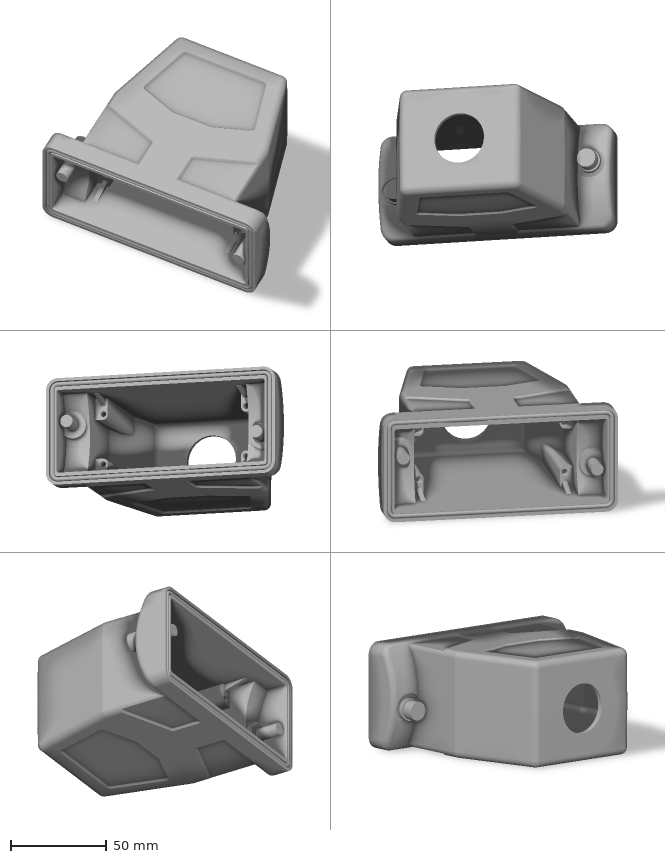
import cadquery as cq
import math


COLLAR_WIDTH = 125.0
LENGTH = 100.0
HEIGHT = 57.0

COLLAR_CORNER = 6.2
COLLAR_CREST = 20.0
COLLAR_BACK_RADIUS = 50.0
COLLAR_EDGE_FILLET = 3.0

TRUNK_START = 6.2
TRUNK_HALF_WIDTH = 45.5
TRUNK_BEND_Y = 50.0
TRUNK_BACK_HALF_WIDTH = 32.0
TRUNK_DRAFT = 0.5
TRUNK_BEND_RADIUS = 3.8
TRUNK_CORNER_RADIUS = 3.8
TRUNK_EDGE_FILLET = 3.6

LABEL_DEPTH = 1.0
GRIP_DEPTH = 1.1
BEVEL = 45.0
RECESS_CORNER = 1.2
GRIP_INNER_X = 12.2
GRIP_INNER_Y = 27.2
GRIP_SLOPE = 20.0
LABEL_HALF_OUTLINE = [(11.2, 51.2), (31.9, 58.8), (23.5, 89.2)]

COLLAR_WALL = 3.0
BACK_WALL = 3.0
SLANT_WALL = 2.6
MOUTH_HALF_WIDTH = 56.9
COLLAR_FLOOR_HALF_WIDTH = 56.1
MOUTH_HALF_HEIGHT = 22.1
BACK_HALF_HEIGHT = 20.9
MOUTH_CORNER = 1.2
TRUNK_CAVITY_HALF_WIDTH = 43.8
BEND_CAVITY_HALF_WIDTH = 42.6
CAVITY_BACK_FILLET = 2.5
CABLE_HOLE_DIAMETER = 26.8

BLOCK_FRONT_Y = 26.6
BLOCK_INNER_X = 36.5
BLOCK_INNER_Z = 10.4
BLOCK_CORNER = 2.5
BLOCK_DRAFT = 0.7
BLOCK_EMBED = 3.8
BLOCK_HOLE_DIAMETER = 2.8
BLOCK_HOLE_CHAMFER = 0.4
BLOCK_HOLE_DEPTH = 12.5
BLOCK_HOLE_X = 38.9
BLOCK_HOLE_Z = 13.4
RIB_WIDTH = 2.5
RIB_TOP_Z = 18.0
RIB_FRONT_Y = 14.0
RIB_FRONT_Z = 21.8

GROOVE_INSET = 1.6
GROOVE_WIDTH = 2.9
GROOVE_DEPTH = 2.0
SEAL_WIDTH = 2.1

SCREW_X = 51.8
SCREW_Z = 5.6
SHANK_DIAMETER = 6.6
SCREW_TIP_Y = 1.4
HEAD_DIAMETER = 10.0
HEAD_TOP_Y = 27.5
FLANGE_DIAMETER = 12.0
FLANGE_THICKNESS = 1.0
SEAT_Y = 20.1
SPOTFACE_DIAMETER = 17.2
SPOTFACE_Y = 18.8
CAP_THICKNESS = 1.2
BOSS_FACE_Y = 14.0
BOSS_DIAMETER = 14.0
BOSS_FOOT_FILLET = 0.9

HALF_HEIGHT = HEIGHT / 2
HALF_WIDTH = COLLAR_WIDTH / 2
BACK_ARC_Y = COLLAR_CREST - COLLAR_BACK_RADIUS
CAVITY_BACK_Y = LENGTH - BACK_WALL
SLANT = (TRUNK_HALF_WIDTH - TRUNK_BACK_HALF_WIDTH) / (LENGTH - TRUNK_BEND_Y)
SLANT_SHIFT = SLANT_WALL * math.hypot(1, SLANT)
CAVITY_BACK_HALF_WIDTH = TRUNK_BACK_HALF_WIDTH + SLANT * BACK_WALL - SLANT_SHIFT
CAVITY_BEND_Y = CAVITY_BACK_Y - (BEND_CAVITY_HALF_WIDTH - CAVITY_BACK_HALF_WIDTH) / SLANT
SCREW_PLACES = [(-SCREW_X, SCREW_Z), (SCREW_X, -SCREW_Z)]
CAPPED_SCREW_PLACE = SCREW_PLACES[0]
CORNER_SIGNS = [(sx, sz) for sx in (-1, 1) for sz in (-1, 1)]


def mirrored(points):
    """Complete a half outline given on the +X side with its mirror image."""
    return points + [(-x, y) for x, y in reversed(points)]


def rod(place, diameter, start_y, end_y):
    """A round bar along Y, centred on the (x, z) place."""
    x, z = place
    bar = cq.Solid.makeCylinder(diameter / 2, end_y - start_y, cq.Vector(x, start_y, z), cq.Vector(0, 1, 0))
    return cq.Workplane(obj=bar)


def collar_profile(radius):
    """Side outline (Y, Z) of a block from the mouth to an arched back of the given radius."""
    edge_y = BACK_ARC_Y + math.sqrt(radius**2 - HALF_HEIGHT**2)
    return (
        cq.Workplane("YZ")
        .moveTo(0, -HALF_HEIGHT)
        .lineTo(edge_y, -HALF_HEIGHT)
        .threePointArc((BACK_ARC_Y + radius, 0), (edge_y, HALF_HEIGHT))
        .lineTo(0, HALF_HEIGHT)
        .close()
        .extrude(HALF_WIDTH, both=True)
    )


def rounded_block(inset, depth, corner):
    """A rounded rectangular block from the mouth plane, inset from the collar outline."""
    return (
        cq.Workplane("XZ")
        .rect(COLLAR_WIDTH - 2 * inset, HEIGHT - 2 * inset)
        .extrude(-depth)
        .edges("|Y")
        .fillet(corner)
    )


def make_collar():
    collar = rounded_block(0, 2 * COLLAR_CREST, COLLAR_CORNER).intersect(collar_profile(COLLAR_BACK_RADIUS))
    return collar.edges("not(|Y or <Y)").fillet(COLLAR_EDGE_FILLET)


def edges_near_y(y):
    """Selector for the upright edges of the upper trunk half close to the given Y."""
    reach = 1.2
    low = (-HALF_WIDTH, y - reach, reach)
    high = (HALF_WIDTH, y + reach, HALF_HEIGHT - reach)
    return cq.selectors.BoxSelector(low, high)


def bevelled_recess(floor_outline, depth):
    """Cutter for a recess in the top with rounded corners and sloping walls."""
    floor = cq.Sketch().polygon(floor_outline + floor_outline[:1]).vertices().fillet(RECESS_CORNER)
    return (
        cq.Workplane("XY", origin=(0, 0, HALF_HEIGHT - depth))
        .placeSketch(floor)
        .extrude(depth, taper=-BEVEL)
    )


def grip_recess(sign_x):
    """Cutter for one grip recess, open at the side; its front end lies inside the collar."""
    outer_x = TRUNK_HALF_WIDTH + 2 * RECESS_CORNER
    outer_y = GRIP_INNER_Y + (outer_x - GRIP_INNER_X) * math.tan(math.radians(GRIP_SLOPE))
    corners = [(GRIP_INNER_X, 0), (outer_x, 0), (outer_x, outer_y), (GRIP_INNER_X, GRIP_INNER_Y)]
    return bevelled_recess([(sign_x * x, y) for x, y in corners], GRIP_DEPTH)


def make_trunk():
    """Upper half with drafted walls and recesses, mirrored to the lower half."""
    outline = mirrored(
        [
            (TRUNK_HALF_WIDTH, TRUNK_START),
            (TRUNK_HALF_WIDTH, TRUNK_BEND_Y),
            (TRUNK_BACK_HALF_WIDTH, LENGTH),
        ]
    )
    half = cq.Workplane("XY").polyline(outline).close().extrude(HALF_HEIGHT, taper=TRUNK_DRAFT)
    half = half.edges(edges_near_y(LENGTH)).fillet(TRUNK_CORNER_RADIUS)
    half = half.edges(edges_near_y(TRUNK_BEND_Y)).fillet(TRUNK_BEND_RADIUS)
    half = half.faces(">Z").edges("not(<Y)").fillet(TRUNK_EDGE_FILLET)
    for sign_x in (-1, 1):
        half = half.cut(grip_recess(sign_x))
    half = half.cut(bevelled_recess(mirrored(LABEL_HALF_OUTLINE), LABEL_DEPTH))
    return half.union(half.mirror("XY"))


def boss_foot(place):
    """Selector for the edge where a screw boss rises from the arched chamber floor."""
    x, z = place
    margin = 0.1
    reach = BOSS_DIAMETER / 2 + margin
    low = (x - reach, BOSS_FACE_Y + margin, z - reach)
    high = (x + reach, COLLAR_CREST, z + reach)
    return cq.selectors.BoxSelector(low, high, boundingbox=True)


def make_cavity():
    """Inner space: an arched chamber in the collar and a tapering one in the trunk."""
    ceiling_outline = [(MOUTH_HALF_HEIGHT, 0), (BACK_HALF_HEIGHT, CAVITY_BACK_Y)]
    between_ceilings = (
        cq.Workplane("YZ")
        .polyline([(y, z) for z, y in mirrored(ceiling_outline)])
        .close()
        .extrude(HALF_WIDTH, both=True)
    )
    chamber_outline = [(MOUTH_HALF_WIDTH, 0), (COLLAR_FLOOR_HALF_WIDTH, COLLAR_CREST)]
    chamber = cq.Workplane("XY").polyline(mirrored(chamber_outline)).close().extrude(HEIGHT, both=True)
    chamber = chamber.intersect(between_ceilings).edges("not(|X or |Z)").fillet(MOUTH_CORNER)
    chamber = chamber.intersect(collar_profile(COLLAR_BACK_RADIUS - COLLAR_WALL))
    for place in SCREW_PLACES:
        chamber = chamber.cut(rod(place, BOSS_DIAMETER, BOSS_FACE_Y, COLLAR_CREST))
        chamber = chamber.edges(boss_foot(place)).fillet(BOSS_FOOT_FILLET)
    tunnel_outline = [
        (TRUNK_CAVITY_HALF_WIDTH, 0),
        (BEND_CAVITY_HALF_WIDTH, CAVITY_BEND_Y),
        (CAVITY_BACK_HALF_WIDTH, CAVITY_BACK_Y),
    ]
    tunnel = cq.Workplane("XY").polyline(mirrored(tunnel_outline)).close().extrude(HEIGHT, both=True)
    tunnel = tunnel.intersect(between_ceilings).faces(">Y").edges().fillet(CAVITY_BACK_FILLET)
    return chamber.union(tunnel)


def screw_block(sign_x, sign_z):
    """A drafted block with a screw hole in its face and a sloping rib in front of it."""
    outer_x = TRUNK_CAVITY_HALF_WIDTH + BLOCK_EMBED
    outer_z = MOUTH_HALF_HEIGHT + BLOCK_EMBED
    face = cq.Sketch().rect(outer_x - BLOCK_INNER_X, outer_z - BLOCK_INNER_Z).vertices().fillet(BLOCK_CORNER)
    block = (
        cq.Workplane("XZ", origin=((BLOCK_INNER_X + outer_x) / 2, BLOCK_FRONT_Y, (BLOCK_INNER_Z + outer_z) / 2))
        .placeSketch(face)
        .extrude(BLOCK_FRONT_Y - LENGTH, taper=-BLOCK_DRAFT)
    )
    hole_place = (BLOCK_HOLE_X, BLOCK_HOLE_Z)
    hole = rod(hole_place, BLOCK_HOLE_DIAMETER, BLOCK_FRONT_Y, BLOCK_FRONT_Y + BLOCK_HOLE_DEPTH)
    countersink = cq.Solid.makeCone(
        BLOCK_HOLE_DIAMETER / 2 + BLOCK_HOLE_CHAMFER,
        BLOCK_HOLE_DIAMETER / 2,
        BLOCK_HOLE_CHAMFER,
        cq.Vector(BLOCK_HOLE_X, BLOCK_FRONT_Y, BLOCK_HOLE_Z),
        cq.Vector(0, 1, 0),
    )
    rib = (
        cq.Workplane("YZ", origin=(BLOCK_HOLE_X, 0, 0))
        .polyline(
            [
                (BLOCK_FRONT_Y, RIB_TOP_Z),
                (RIB_FRONT_Y, RIB_FRONT_Z),
                (RIB_FRONT_Y, outer_z),
                (BLOCK_FRONT_Y, outer_z),
            ]
        )
        .close()
        .extrude(RIB_WIDTH / 2, both=True)
    )
    block = block.cut(hole).cut(cq.Workplane(obj=countersink)).union(rib)
    if sign_x < 0:
        block = block.mirror("YZ")
    if sign_z < 0:
        block = block.mirror("XY")
    return block


def make_housing():
    collar = make_collar()
    trunk = make_trunk()
    outside = collar.union(trunk)
    housing = outside.cut(make_cavity())
    for signs in CORNER_SIGNS:
        housing = housing.union(screw_block(*signs).intersect(outside))
    for place in SCREW_PLACES:
        housing = housing.cut(rod(place, SPOTFACE_DIAMETER, SPOTFACE_Y, HEAD_TOP_Y).cut(trunk))
        housing = housing.union(rod(place, FLANGE_DIAMETER, SPOTFACE_Y, SEAT_Y))
        housing = housing.cut(rod(place, SHANK_DIAMETER, 0, LENGTH))
    housing = housing.cut(rod((0, 0), CABLE_HOLE_DIAMETER, TRUNK_BEND_Y, LENGTH))
    groove = rounded_block(GROOVE_INSET, GROOVE_DEPTH, COLLAR_CORNER - GROOVE_INSET)
    core_inset = GROOVE_INSET + GROOVE_WIDTH
    core = rounded_block(core_inset, GROOVE_DEPTH, COLLAR_CORNER - core_inset)
    return housing.cut(groove.cut(core))


def make_seal():
    """A cord with a rounded top, lying in the groove around the mouth."""
    inset = GROOVE_INSET + GROOVE_WIDTH / 2
    path = rounded_block(inset, GROOVE_DEPTH, COLLAR_CORNER - inset).faces("<Y").wires()
    half = SEAL_WIDTH / 2
    middle_z = HALF_HEIGHT - inset
    return (
        cq.Workplane("YZ")
        .moveTo(GROOVE_DEPTH, middle_z - half)
        .lineTo(half, middle_z - half)
        .threePointArc((0, middle_z), (half, middle_z + half))
        .lineTo(GROOVE_DEPTH, middle_z + half)
        .close()
        .sweep(path)
    )


def make_screw(place):
    """A shank with a seat flange and a round head; a capped one has a shorter head."""
    head_end = HEAD_TOP_Y - CAP_THICKNESS if place == CAPPED_SCREW_PLACE else HEAD_TOP_Y
    shank = rod(place, SHANK_DIAMETER, SCREW_TIP_Y, SEAT_Y)
    flange = rod(place, FLANGE_DIAMETER, SEAT_Y, SEAT_Y + FLANGE_THICKNESS)
    head = rod(place, HEAD_DIAMETER, SEAT_Y + FLANGE_THICKNESS, head_end)
    return shank.union(flange).union(head)


def make_screw_cap():
    """The thin disc that closes the head of the capped screw."""
    return rod(CAPPED_SCREW_PLACE, HEAD_DIAMETER, HEAD_TOP_Y - CAP_THICKNESS, HEAD_TOP_Y)


housing = make_housing()
seal = make_seal()
screws = [make_screw(place) for place in SCREW_PLACES]
screw_cap = make_screw_cap()

result = cq.Compound.makeCompound(
    [housing.val(), seal.val(), *[screw.val() for screw in screws], screw_cap.val()]
)